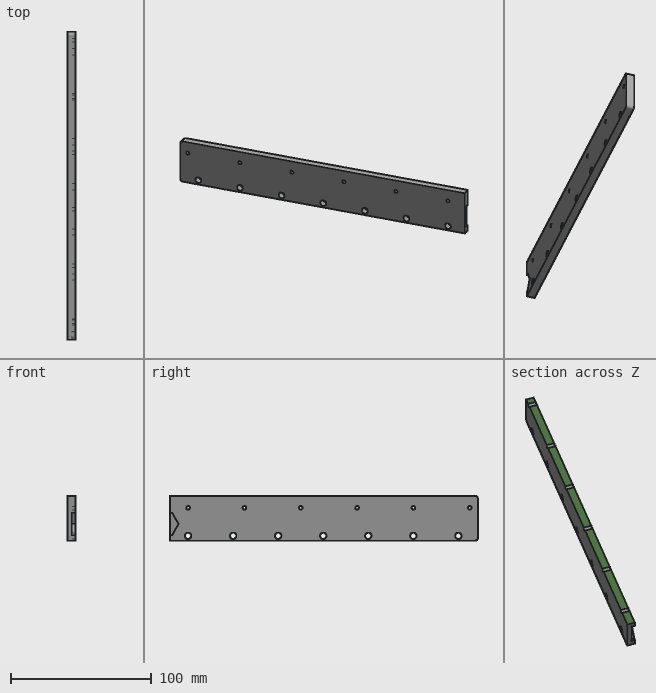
import cadquery as cq
import math

LENGTH = 219.0
HEIGHT = 32.0
THICKNESS = 6.0
CORNER_RADIUS = 2.2

SMALL_DIAMETER = 2.5
SMALL_COUNT = 6
SMALL_FRONT_MARGIN = 13.0
SMALL_REAR_MARGIN = 6.0
SMALL_Z = 23.5

LARGE_DIAMETER = 4.4
LARGE_COUNT = 7
LARGE_FRONT_MARGIN = 13.0
LARGE_REAR_MARGIN = 14.0
LARGE_Z = 3.5

NOTCH_DEPTH = 2.6
NOTCH_HEIGHT = 16.0
NOTCH_BOTTOM_Z = 4.0
NOTCH_SIDE_LENGTH = 1.5
NOTCH_POINT_ANGLE = 120.0
NOTCH_POINT_LENGTH = NOTCH_HEIGHT / 2 / math.tan(math.radians(NOTCH_POINT_ANGLE / 2))


def make_plate():
    plate = cq.Workplane("XY").box(THICKNESS, LENGTH, HEIGHT, centered=False)
    return plate.edges(">Y and |X").fillet(CORNER_RADIUS)


def make_hole_row(diameter, count, front_margin, rear_margin, z):
    pitch = (LENGTH - front_margin - rear_margin) / (count - 1)
    centers = [(front_margin + index * pitch, z) for index in range(count)]
    return cq.Workplane("YZ").pushPoints(centers).circle(diameter / 2).extrude(THICKNESS)


def make_notch():
    notch_top_z = NOTCH_BOTTOM_Z + NOTCH_HEIGHT
    outline = [
        (0, NOTCH_BOTTOM_Z),
        (NOTCH_SIDE_LENGTH, NOTCH_BOTTOM_Z),
        (NOTCH_SIDE_LENGTH + NOTCH_POINT_LENGTH, NOTCH_BOTTOM_Z + NOTCH_HEIGHT / 2),
        (NOTCH_SIDE_LENGTH, notch_top_z),
        (0, notch_top_z),
    ]
    floor = cq.Workplane("YZ", origin=(THICKNESS - NOTCH_DEPTH, 0, 0))
    return floor.polyline(outline).close().extrude(NOTCH_DEPTH)


small_holes = make_hole_row(
    SMALL_DIAMETER, SMALL_COUNT, SMALL_FRONT_MARGIN, SMALL_REAR_MARGIN, SMALL_Z
)
large_holes = make_hole_row(
    LARGE_DIAMETER, LARGE_COUNT, LARGE_FRONT_MARGIN, LARGE_REAR_MARGIN, LARGE_Z
)

result = make_plate().cut(small_holes).cut(large_holes).cut(make_notch())